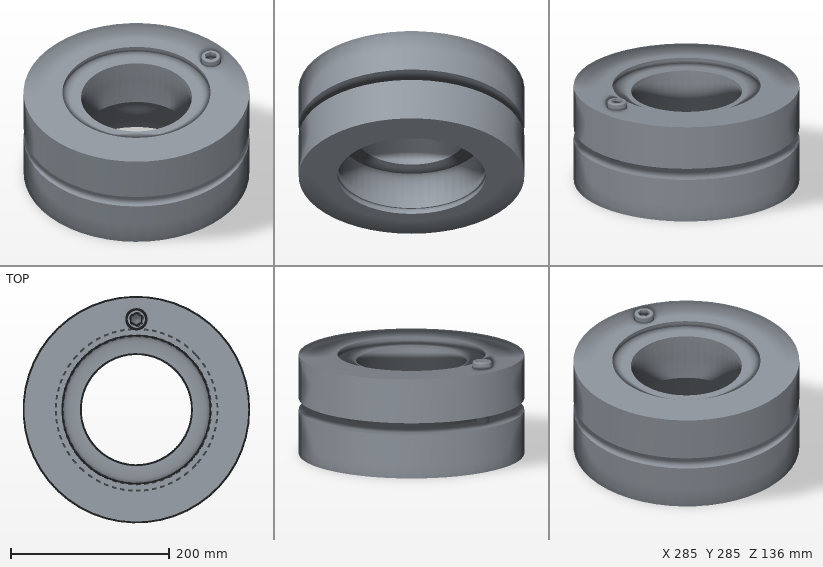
import cadquery as cq
import math

ring_diameter = 285.0
ring_height = 56.5
ring_gap = 15.0
stack_height = 2 * ring_height + ring_gap
middle_z = stack_height / 2

cone_end_diameter = 187.0
cone_crest_diameter = 205.2
cone_slope = (cone_crest_diameter - cone_end_diameter) / 2 / middle_z

end_recess = 8.0
small_bore_diameter = 140.0
large_bore_diameter = 185.0
bore_step_z = 58.5

screw_y = 114.0
shank_diameter = 16.0
clearance_diameter = 18.0
head_diameter = 24.0
head_height = 16.0
head_rounding = 1.7
head_projection = 8.0
counterbore_diameter = 26.0
counterbore_depth = head_height - head_projection
head_seat_z = stack_height - counterbore_depth
head_top_z = stack_height + head_projection
thread_engagement = 40.0
screw_end_z = ring_height - thread_engagement
hex_across_flats = 14.0
hex_corner_diameter = hex_across_flats / math.cos(math.pi / 6)
hex_depth = 8.0
hex_tip_angle = 120.0


def cone_radius(z):
    """Radius of the double cone at height z; it is widest at the middle."""
    return cone_crest_diameter / 2 - cone_slope * abs(z - middle_z)


def revolve_profile(points):
    """Turn a closed (radius, z) profile around the Z axis."""
    return cq.Workplane("XZ").polyline(points).close().revolve(360, (0, 0, 0), (0, 1, 0))


def screw_cylinder(diameter, bottom_z, top_z):
    """Cylinder on the screw axis between two heights."""
    return (
        cq.Workplane("XY", origin=(0, screw_y, bottom_z))
        .circle(diameter / 2)
        .extrude(top_z - bottom_z)
    )


def make_clamping_ring(bottom_z):
    """Plain ring whose bore follows the double cone."""
    top_z = bottom_z + ring_height
    return revolve_profile([
        (cone_radius(bottom_z), bottom_z),
        (ring_diameter / 2, bottom_z),
        (ring_diameter / 2, top_z),
        (cone_radius(top_z), top_z),
    ])


def make_lower_ring():
    """Clamping ring with the blind hole that holds the screw."""
    return make_clamping_ring(0).cut(screw_cylinder(shank_diameter, screw_end_z, ring_height))


def make_upper_ring():
    """Clamping ring with a counterbored clearance hole for the screw."""
    bottom_z = ring_height + ring_gap
    clearance = screw_cylinder(clearance_diameter, bottom_z, stack_height)
    counterbore = screw_cylinder(counterbore_diameter, head_seat_z, stack_height)
    return make_clamping_ring(bottom_z).cut(clearance).cut(counterbore)


def make_inner_ring():
    """Double-cone ring with a stepped bore, set back from both end faces."""
    bottom_z = end_recess
    top_z = stack_height - end_recess
    return revolve_profile([
        (large_bore_diameter / 2, bottom_z),
        (cone_radius(bottom_z), bottom_z),
        (cone_crest_diameter / 2, middle_z),
        (cone_radius(top_z), top_z),
        (small_bore_diameter / 2, top_z),
        (small_bore_diameter / 2, bore_step_z),
        (large_bore_diameter / 2, bore_step_z),
    ])


def make_hex_socket():
    """Hexagonal socket with a conical floor and two corners along Y."""
    corner_radius = hex_corner_diameter / 2
    tip_depth = corner_radius / math.tan(math.radians(hex_tip_angle / 2))
    floor_z = head_top_z - hex_depth
    hexagon = (
        cq.Workplane("XY", origin=(0, screw_y, floor_z - tip_depth))
        .transformed(rotate=(0, 0, 90))
        .polygon(6, hex_corner_diameter)
        .extrude(hex_depth + tip_depth)
    )
    drill = revolve_profile([
        (0, floor_z - tip_depth),
        (corner_radius, floor_z),
        (corner_radius, head_top_z),
        (0, head_top_z),
    ]).translate((0, screw_y, 0))
    return hexagon.intersect(drill)


def make_screw():
    """Socket head screw joining the two clamping rings."""
    head = screw_cylinder(head_diameter, head_seat_z, head_top_z)
    head = head.faces(">Z").edges().fillet(head_rounding)
    shank = screw_cylinder(shank_diameter, screw_end_z, head_seat_z)
    return head.union(shank).cut(make_hex_socket())


lower_ring = make_lower_ring()
upper_ring = make_upper_ring()
inner_ring = make_inner_ring()
screw = make_screw()

result = cq.Compound.makeCompound([
    lower_ring.val(),
    upper_ring.val(),
    inner_ring.val(),
    *screw.solids().vals(),
])